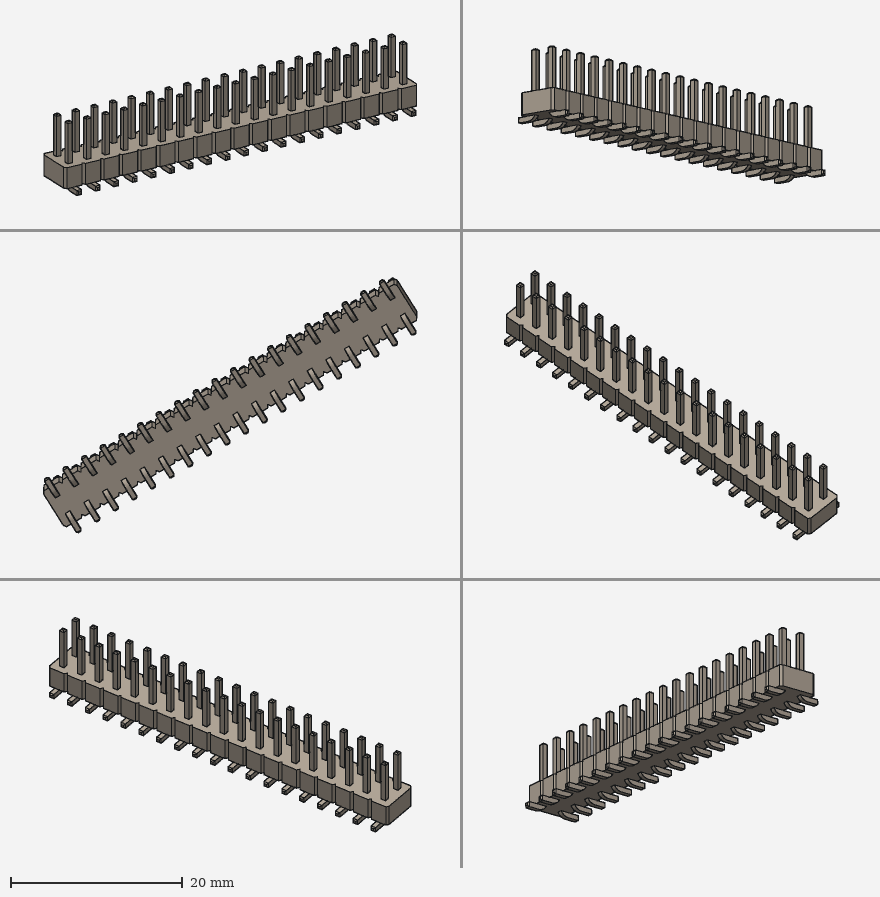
import cadquery as cq

positions = 19
length = 48.25
pitch = length / positions
overall_width = 7.55
overall_height = 8.55
pin_size = pitch / 4
tip_chamfer = pin_size / 4
heel_radius = 1.2

body_width = 2 * pitch
body_height = 2.65
notch_depth = 0.35
notch_half_width = 0.25


def make_body():
    """Row of chamfered segments that leave V notches where they meet."""
    half_width = body_width / 2
    waist = half_width - notch_depth
    right_side = []
    for i in range(positions):
        start = i * pitch - length / 2
        end = start + pitch
        right_side += [
            (waist, start),
            (half_width, start + notch_half_width),
            (half_width, end - notch_half_width),
        ]
    right_side.append((waist, length / 2))
    left_side = [(-x, y) for x, y in reversed(right_side)]
    return (
        cq.Workplane("XY", origin=(0, 0, pin_size))
        .polyline(right_side + left_side)
        .close()
        .extrude(body_height)
    )


def make_lead():
    """Lead of the +X row, centred on Y = 0: outward foot, rounded heel and upright pin."""
    inner_face = pitch / 2 - pin_size / 2
    outer_face = inner_face + pin_size
    foot_end = overall_width / 2
    heel_start = inner_face + heel_radius
    return (
        cq.Workplane("XZ")
        .moveTo(foot_end, 0)
        .lineTo(heel_start, 0)
        .radiusArc((inner_face, heel_radius), heel_radius)
        .lineTo(inner_face, overall_height)
        .lineTo(outer_face, overall_height)
        .lineTo(outer_face, pin_size)
        .lineTo(foot_end, pin_size)
        .close()
        .extrude(pin_size / 2, both=True)
        .faces(">Z or >X")
        .chamfer(tip_chamfer)
    )


right_lead = make_lead()
left_lead = right_lead.mirror("YZ")

result = make_body()
for i in range(positions):
    pin_y = (i + 0.5) * pitch - length / 2
    for lead in (left_lead, right_lead):
        result = result.union(lead.translate((0, pin_y, 0)))